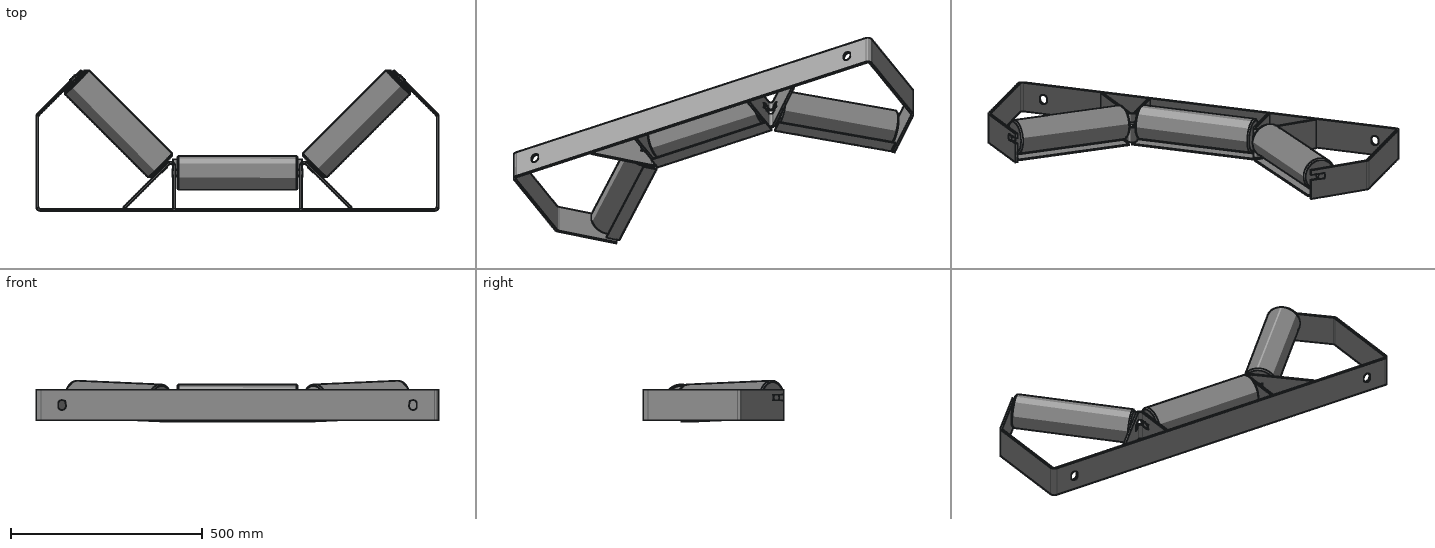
import cadquery as cq
import math

sheet = 6.0
outer_bend = 2 * sheet
inner_bend = outer_bend - sheet
sheet_height = 80.0
lean_angle = 45.0
lean = math.sin(math.radians(lean_angle))

frame_half_length = 525.0
frame_depth = 368.0
side_corner_y = 251.0
mount_hole_x = 458.0
mount_hole_width = 20.0
mount_hole_height = 26.0

roller_diameter = 89.0
roller_length = 315.0
roller_chamfer = 4.0
roller_gap = 4.7
roller_axis_y = 100.0
roller_axis_z = 49.0
wing_inner_x = -199.0
wing_inner_y = 117.0
wing_tilt = 1.8

shaft_diameter = 20.0
shaft_flat_height = 15.0
shaft_overhang = 13.0
slot_overhang = 21.0
slot_depth = 105.0

upright_x = roller_length / 2 + roller_gap
fold_apex_y = 146.0

strip_thickness = 3.0
strip_width = 36.0
centre_strip_length = 2 * (upright_x + sheet)
wing_strip_overhang = 2.0
wing_strip_length = roller_length + 2 * wing_strip_overhang


def mirrored(body):
    return body.mirror("YZ")


def on_centre_axis(body):
    """Move a body built around the X axis onto the axis of the level roller."""
    return body.translate((0, roller_axis_y, roller_axis_z))


def on_left_wing_axis(body):
    """Move a body built around the X axis onto the axis of the left wing roller."""
    inner_end_at_origin = body.translate((-roller_length / 2, 0, 0))
    tilted = inner_end_at_origin.rotate((0, 0, 0), (0, 1, 0), wing_tilt)
    turned = tilted.rotate((0, 0, 0), (0, 0, 1), -lean_angle)
    return turned.translate((wing_inner_x, wing_inner_y, roller_axis_z))


def bent_plate(outline, outer_corners, inner_corners):
    """Extrude a plate outline upwards and round both sides of its bends."""

    def upright_edge(corner):
        return cq.selectors.NearestToPointSelector((*corner, sheet_height / 2))

    plate = cq.Workplane("XY").polyline(outline).close().extrude(sheet_height)
    for corner in outer_corners:
        plate = plate.edges(upright_edge(corner)).fillet(outer_bend)
    for corner in inner_corners:
        plate = plate.edges(upright_edge(corner)).fillet(inner_bend)
    return plate


def make_shaft_slot():
    """Cutter for both shaft ends, open towards +Y."""
    slot_length = roller_length + 2 * slot_overhang
    slot = cq.Workplane("XY").box(
        slot_length, slot_depth, shaft_flat_height, centered=(True, False, True)
    )
    return slot.translate((0, -shaft_diameter / 2, 0))


def make_frame():
    corner = (-frame_half_length, side_corner_y)
    tip_x = -frame_half_length + frame_depth - side_corner_y
    inner_x = -frame_half_length + sheet
    inner_corner_y = side_corner_y - sheet * math.tan(math.radians(lean_angle / 2))
    front_corner = (-frame_half_length, 0)
    front_inner_corner = (inner_x, sheet)
    inner_corner = (inner_x, inner_corner_y)
    outline = [
        (0, 0),
        front_corner,
        corner,
        (tip_x, frame_depth),
        (tip_x + sheet * lean, frame_depth - sheet * lean),
        inner_corner,
        front_inner_corner,
        (0, sheet),
    ]
    half = bent_plate(outline, [front_corner, corner], [inner_corner, front_inner_corner])

    mount_hole = (
        cq.Workplane("XZ")
        .center(-mount_hole_x, sheet_height / 2)
        .slot2D(mount_hole_height, mount_hole_width, 90)
        .extrude(-sheet)
    )
    half = half.cut(mount_hole).cut(on_left_wing_axis(make_shaft_slot()))
    return half.union(mirrored(half))


def make_left_bracket():
    fold = (-upright_x, fold_apex_y)
    inner_fold_drop = sheet * math.tan(math.radians(90 - lean_angle / 2))
    inner_fold = (-upright_x - sheet, fold_apex_y - inner_fold_drop)
    lean_rise = fold_apex_y - sheet - sheet * lean
    lean_run = lean_rise / math.tan(math.radians(lean_angle))
    foot = (fold[0] - lean_run, fold[1] - lean_rise)
    outline = [
        fold,
        foot,
        (foot[0] + sheet * lean, foot[1] - sheet * lean),
        inner_fold,
        (inner_fold[0], sheet),
        (-upright_x, sheet),
    ]
    bracket = bent_plate(outline, [fold], [inner_fold])
    bracket = bracket.cut(on_centre_axis(make_shaft_slot()))
    return bracket.cut(on_left_wing_axis(make_shaft_slot()))


def make_roller():
    """Chamfered roller with flattened shaft ends, centred along the X axis."""
    shell = cq.Workplane("YZ").circle(roller_diameter / 2).extrude(roller_length)
    shell = shell.faces("<X or >X").chamfer(roller_chamfer)
    shell = shell.translate((-roller_length / 2, 0, 0))

    shaft_length = roller_length + 2 * shaft_overhang
    shaft = cq.Workplane("YZ").circle(shaft_diameter / 2).extrude(shaft_length)
    shaft = shaft.translate((-shaft_length / 2, 0, 0))
    flats = cq.Workplane("XY").box(shaft_length, shaft_diameter, shaft_flat_height)
    return shell.union(shaft.intersect(flats))


def make_strip(length):
    """Flat strip parallel to the X axis, its top one roller axis height below that axis."""
    strip = cq.Workplane("XY").box(
        length, strip_width, strip_thickness, centered=(True, False, False)
    )
    return strip.translate((0, 0, -roller_axis_z - strip_thickness))


frame = make_frame()
centre_roller = on_centre_axis(make_roller())
centre_strip = on_centre_axis(make_strip(centre_strip_length))
bodies = [frame, centre_roller, centre_strip]

left_bodies = [
    make_left_bracket(),
    on_left_wing_axis(make_roller()),
    on_left_wing_axis(make_strip(wing_strip_length)),
]
for left_body in left_bodies:
    bodies += [left_body, mirrored(left_body)]

result = cq.Compound.makeCompound([body.val() for body in bodies])